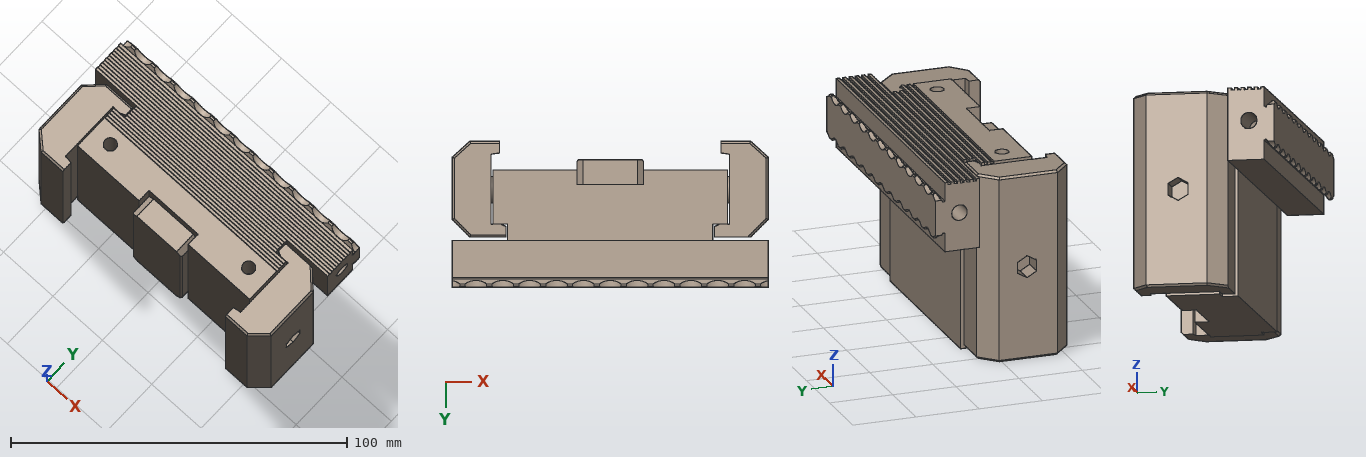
import cadquery as cq
import math


length = 94.0
depth = 43.5
height = 60.0

bar_back = -3.0
bar_front = -14.0
bar_height = 21.9
bar_mid_z = height - bar_height / 2
neck_width = 61.1
body_back = -18.8
body_front = -35.0
body_width = 69.75

bar_strips = 11
groove_width = (bar_back - bar_front) / bar_strips
groove_depth = 0.7
groove_count = 10

rail_half_height = 7.05
crest_front = -1.0
crest_chamfer = 0.4
notch_y = -2.4
notch_half_height = 4.9
notch_lip_half_height = 5.2
scallop_diameter = 8.0
scallop_depth = 1.6
scallop_count = 13

jaw_back = -14.9
jaw_end_gap = 0.7
jaw_edge_chamfer = 0.7
jaw_corner_x = 5.3
jaw_corner_back = 5.3
jaw_corner_front = 4.8
jaw_wall_x = 35.4
jaw_back_lip_x = 30.9
jaw_front_lip_x = 32.9
front_lip_root_y = -39.6
front_lip_tip_y = -39.95
lip_relief_width = 1.6
lip_relief_depth = 0.7

screw_y = -29.0
screw_z = height / 2
screw_diameter = 8.0
hex_across_flats = 6.0
hex_depth = 6.0

drill_angle = 118.0
bar_hole_diameter = 4.9
bar_hole_depth = 14.1
bar_hole_y = -7.6
bar_hole_z = 49.9
body_hole_diameter = 4.1
body_hole_depth = 14.1
body_hole_x = 28.0
body_hole_y = -28.0

channel_width = 19.8
channel_floor_y = -30.6
key_front = -38.0
key_bottom = 6.0
key_top = 55.2
key_corner = 1.9
key_edge_chamfer = 0.5


def block(width, y_back, y_front, z_low, z_high):
    """Box centred on X = 0 between the given Y and Z limits."""
    box = cq.Workplane("XY").box(width, y_back - y_front, z_high - z_low, centered=(True, False, False))
    return box.translate((0, y_front, z_low))


def mirrored_pair(shape):
    """The shape and its mirror image across X = 0."""
    return shape.union(shape.mirror("YZ"))


def drill(diameter, drill_depth):
    """Drill shape with a conical tip, entering along -Z from the origin."""
    radius = diameter / 2
    tip = radius / math.tan(math.radians(drill_angle / 2))
    outline = [(0, 0), (radius, 0), (radius, -drill_depth), (0, -drill_depth - tip)]
    return cq.Workplane("XZ").polyline(outline).close().revolve(360, (0, 0, 0), (0, 1, 0))


def make_frame():
    """Cross bar joined by the neck to the body, with the key channel down the body front."""
    bar = block(length, bar_back, bar_front, height - bar_height, height)
    neck = block(neck_width, bar_front, body_back, 0, height)
    body = block(body_width, body_back, body_front, 0, height)
    channel = block(channel_width, channel_floor_y, body_front, 0, height)
    return bar.union(neck).union(body.cut(channel))


def make_grooves():
    """Parallel rectangular grooves running the full length of the top."""
    grooves = cq.Workplane("XY")
    for i in range(groove_count):
        back = bar_back - (2 * i + 1) * groove_width
        grooves = grooves.add(block(length, back, back - groove_width, height - groove_depth, height))
    return grooves.combine()


def make_rail():
    """Dovetail rail along the back of the bar, toothed on its upper and lower edges."""
    upper_half = [
        (0, rail_half_height - crest_chamfer),
        (-crest_chamfer, rail_half_height),
        (crest_front, rail_half_height),
        (notch_y, notch_half_height),
        (bar_back, notch_lip_half_height),
    ]
    lower_half = [(y, -z) for y, z in reversed(upper_half)]
    section = cq.Workplane("YZ").polyline(upper_half + lower_half).close()
    rail = section.extrude(length / 2, both=True).translate((0, 0, bar_mid_z))

    scallop_offset = rail_half_height - scallop_depth + scallop_diameter / 2
    first_x = -scallop_diameter * (scallop_count - 1) / 2
    scallop = cq.Workplane("XZ").circle(scallop_diameter / 2).extrude(-bar_back)
    for side in (1, -1):
        for i in range(scallop_count):
            x = first_x + i * scallop_diameter
            rail = rail.cut(scallop.translate((x, 0, bar_mid_z + side * scallop_offset)))
    return rail


def make_jaw(back_rim_chamfered):
    """Jaw on the -X end, with chamfered outer rims and a hex socket for its screw."""
    outer_x = length / 2
    outline = [
        (-jaw_back_lip_x, jaw_back),
        (-outer_x + jaw_corner_x, jaw_back),
        (-outer_x, jaw_back - jaw_corner_back),
        (-outer_x, -depth + jaw_corner_front),
        (-outer_x + jaw_corner_x, -depth),
        (-jaw_front_lip_x, -depth),
        (-jaw_front_lip_x, front_lip_tip_y),
        (-jaw_wall_x, front_lip_root_y),
        (-jaw_wall_x, body_back),
        (-jaw_back_lip_x - lip_relief_width, body_back),
        (-jaw_back_lip_x, body_back + lip_relief_depth),
    ]
    jaw = cq.Workplane("XY").workplane(offset=jaw_end_gap).polyline(outline).close()
    jaw = jaw.extrude(height - 2 * jaw_end_gap)

    inner_rim_x = -outer_x + jaw_corner_x
    tolerance = 0.01

    def on_outer_rim(edge):
        middle = edge.Center()
        on_back = abs(middle.y - jaw_back) < tolerance
        on_front = abs(middle.y + depth) < tolerance
        return (on_back and back_rim_chamfered) or on_front or middle.x < inner_rim_x

    rim_edges = jaw.faces("|Z").edges().filter(on_outer_rim)
    jaw = rim_edges.chamfer(jaw_edge_chamfer)

    screw = cq.Workplane("YZ").circle(screw_diameter / 2).extrude(jaw_wall_x - body_width / 2)
    screw = screw.translate((-jaw_wall_x, screw_y, screw_z))

    hex_diameter = hex_across_flats / math.cos(math.radians(30))
    socket = cq.Workplane("YZ").polygon(6, hex_diameter).extrude(hex_depth)
    socket = socket.rotate((0, 0, 0), (1, 0, 0), 30).translate((-outer_x, screw_y, screw_z))
    return jaw.union(screw).cut(socket)


def make_key():
    """Key with cut corners and its two long front edges chamfered."""
    key = block(channel_width, channel_floor_y, key_front, key_bottom, key_top)
    key = key.edges("|Y").chamfer(key_corner)
    return key.faces("<Y").edges("|Z").chamfer(key_edge_chamfer)


def make_holes():
    """Drilled holes in both ends of the bar and in the top of the body."""
    bar_hole = drill(bar_hole_diameter, bar_hole_depth).rotate((0, 0, 0), (0, 1, 0), -90)
    bar_hole = bar_hole.translate((-length / 2, bar_hole_y, bar_hole_z))
    body_hole = drill(body_hole_diameter, body_hole_depth).translate((-body_hole_x, body_hole_y, height))
    return mirrored_pair(bar_hole.union(body_hole))


result = (
    make_frame()
    .cut(make_grooves())
    .union(make_rail())
    .union(make_jaw(back_rim_chamfered=True))
    .union(make_jaw(back_rim_chamfered=False).mirror("YZ"))
    .union(make_key())
    .cut(make_holes())
)